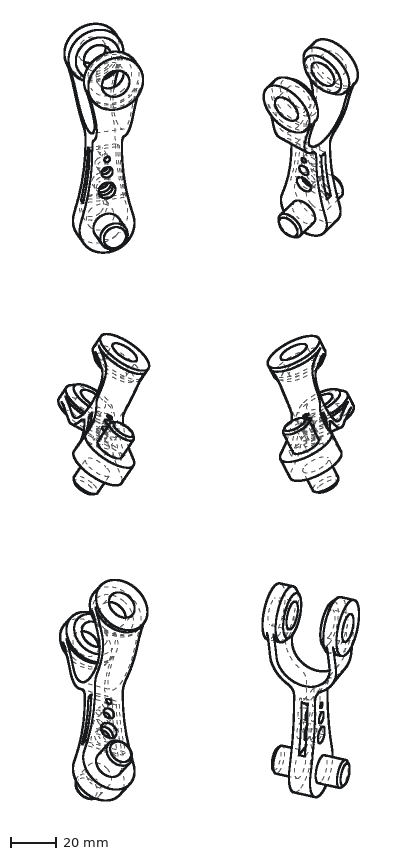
import cadquery as cq
import math

total_height = 101.6
total_width = 35.6
lug_radius = 12.7
lower_z = lug_radius
upper_z = total_height - lug_radius
middle_z = total_height / 2

flank_radius = 114.3

fork_inner_radius = 12.7
fork_thickness = 3.1
fork_outer_radius = fork_inner_radius + fork_thickness
fork_z = 71.2
blade_half_width = 5.1
neck_radius = 6.3

boss_gap = 17.8
boss_length = (total_width - boss_gap) / 2
boss_chamfer = 2.5
bore_diameter = 12.7

pin_length = 33.0
pin_diameter = 12.7
pin_chamfer = 1.2

slot_width = 2.8
slot_length = 25.4
slot_bottom_z = 24.1
hole_diameters = [2.5, 5.1, 7.6]
first_hole_z = 45.7
hole_spacing = 2.5


def cylinder_along_x(diameter, start_x, length, z):
    plane = cq.Workplane("YZ", origin=(start_x, 0, z))
    return plane.circle(diameter / 2).extrude(length)


def side_body():
    """Waisted YZ outline across the full width; the bosses complete its round top end."""
    centre_distance = flank_radius + lug_radius
    half_span = upper_z - middle_z
    flank_centre_y = math.sqrt(centre_distance**2 - half_span**2)
    waist_y = flank_centre_y - flank_radius
    tangent_y = lug_radius * flank_centre_y / centre_distance
    tangent_rise = lug_radius * half_span / centre_distance
    lower_tangent_z = lower_z + tangent_rise
    upper_tangent_z = upper_z - tangent_rise
    return (
        cq.Workplane("YZ")
        .moveTo(tangent_y, lower_tangent_z)
        .threePointArc((waist_y, middle_z), (tangent_y, upper_tangent_z))
        .lineTo(-tangent_y, upper_tangent_z)
        .threePointArc((-waist_y, middle_z), (-tangent_y, lower_tangent_z))
        .threePointArc((0, 0), (tangent_y, lower_tangent_z))
        .close()
        .extrude(total_width / 2, both=True)
    )


def front_body():
    """Y-shaped outline in XZ: blade, rounded neck and U-shaped fork."""
    neck_x = blade_half_width + neck_radius
    centre_distance = fork_outer_radius + neck_radius
    neck_drop = math.sqrt(centre_distance**2 - neck_x**2)
    neck_z = fork_z - neck_drop
    tangent_ratio = fork_outer_radius / centre_distance
    tangent_x = neck_x * tangent_ratio
    tangent_z = fork_z - neck_drop * tangent_ratio

    tangent_angle = math.atan2(neck_drop, neck_x)
    cos_mid = math.cos(tangent_angle / 2)
    sin_mid = math.sin(tangent_angle / 2)
    neck_mid = (neck_x - neck_radius * cos_mid, neck_z + neck_radius * sin_mid)
    fork_mid = (fork_outer_radius * cos_mid, fork_z - fork_outer_radius * sin_mid)

    return (
        cq.Workplane("XZ")
        .moveTo(-blade_half_width, 0)
        .lineTo(blade_half_width, 0)
        .lineTo(blade_half_width, neck_z)
        .threePointArc(neck_mid, (tangent_x, tangent_z))
        .threePointArc(fork_mid, (fork_outer_radius, fork_z))
        .lineTo(fork_outer_radius, total_height)
        .lineTo(fork_inner_radius, total_height)
        .lineTo(fork_inner_radius, fork_z)
        .threePointArc((0, fork_z - fork_inner_radius), (-fork_inner_radius, fork_z))
        .lineTo(-fork_inner_radius, total_height)
        .lineTo(-fork_outer_radius, total_height)
        .lineTo(-fork_outer_radius, fork_z)
        .threePointArc((-fork_mid[0], fork_mid[1]), (-tangent_x, tangent_z))
        .threePointArc((-neck_mid[0], neck_mid[1]), (-blade_half_width, neck_z))
        .close()
        .extrude(total_width, both=True)
    )


def fork_bosses():
    """Pair of discs with a chamfer around each inward face."""
    left = cylinder_along_x(2 * lug_radius, -total_width / 2, boss_length, upper_z)
    left = left.faces(">X").chamfer(boss_chamfer)
    return left.union(left.mirror("YZ"))


def pin():
    body = cylinder_along_x(pin_diameter, -pin_length / 2, pin_length, lower_z)
    return body.faces("<X or >X").chamfer(pin_chamfer)


def blade_slot():
    """Narrow slot through the blade along Y."""
    slot = cq.Workplane("XY").box(slot_width, 2 * lug_radius, slot_length)
    return slot.translate((0, 0, slot_bottom_z + slot_length / 2))


def blade_holes():
    """Row of growing holes with equal webs between them."""
    holes = cq.Workplane("YZ")
    top_edge_z = first_hole_z + hole_diameters[0] / 2
    for diameter in hole_diameters:
        hole_z = top_edge_z - diameter / 2
        hole = cylinder_along_x(diameter, -blade_half_width, 2 * blade_half_width, hole_z)
        holes = holes.add(hole)
        top_edge_z -= diameter + hole_spacing
    return holes.combine()


fork_bores = cylinder_along_x(bore_diameter, -total_width / 2, total_width, upper_z)

result = (
    side_body()
    .intersect(front_body())
    .union(fork_bosses())
    .union(pin())
    .cut(fork_bores)
    .cut(blade_slot())
    .cut(blade_holes())
)